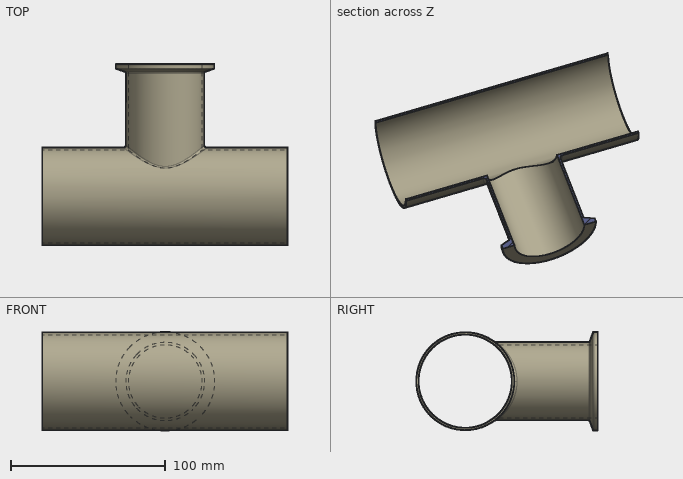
import cadquery as cq
import math

match_tolerance = 0.002

run_length = 158.8
run_diameter = 63.5
run_bore = 60.2

branch_diameter = 50.8
branch_bore = 47.5
branch_reach = 85.7
branch_weld_fillet = 1.6

flange_diameter = 64.0
rim_width = 3.0
rim_rounding = 0.5
taper_angle = 20.0
taper_root_fillet = 0.8

run_radius = run_diameter / 2
branch_radius = branch_diameter / 2
flange_radius = flange_diameter / 2
rim_back = branch_reach - rim_width
taper_height = (flange_radius - branch_radius) * math.tan(math.radians(taper_angle))
taper_root = rim_back - taper_height


def run_cylinder(diameter):
    """Cylinder along X over the full run length."""
    return cq.Workplane("YZ").circle(diameter / 2).extrude(run_length / 2, both=True)


def edge_circle(body, radius, height):
    """Circular edge around the Y axis with the given radius and Y position."""
    return body.edges("%CIRCLE").filter(
        lambda edge: math.isclose(edge.radius(), radius, abs_tol=match_tolerance)
        and math.isclose(edge.Center().y, height, abs_tol=match_tolerance)
    )


def flanged_branch():
    """Solid branch revolved about Y, from the run axis to the flange face."""
    branch = (
        cq.Workplane("XY")
        .lineTo(branch_radius, 0)
        .lineTo(branch_radius, taper_root)
        .lineTo(flange_radius, rim_back)
        .lineTo(flange_radius, branch_reach)
        .lineTo(0, branch_reach)
        .close()
        .revolve(360, (0, 0, 0), (0, 1, 0))
    )
    branch = edge_circle(branch, flange_radius, branch_reach).fillet(rim_rounding)
    branch = edge_circle(branch, flange_radius, rim_back).fillet(rim_rounding)
    return edge_circle(branch, branch_radius, taper_root).fillet(taper_root_fillet)


def branch_bore_cylinder():
    """Cylinder that opens the branch from the run axis to the flange face."""
    return cq.Workplane("XZ").circle(branch_bore / 2).extrude(-branch_reach)


def weld_seam(body):
    """Edges of the saddle curve where the branch leaves the run."""
    saddle_low = math.sqrt(run_radius**2 - branch_radius**2)
    return body.edges().filter(
        lambda edge: edge.geomType() not in ("LINE", "CIRCLE")
        and saddle_low < edge.Center().y < run_radius
    )


solid_tee = run_cylinder(run_diameter).union(flanged_branch())
filleted_tee = weld_seam(solid_tee).fillet(branch_weld_fillet)
result = filleted_tee.cut(run_cylinder(run_bore)).cut(branch_bore_cylinder())